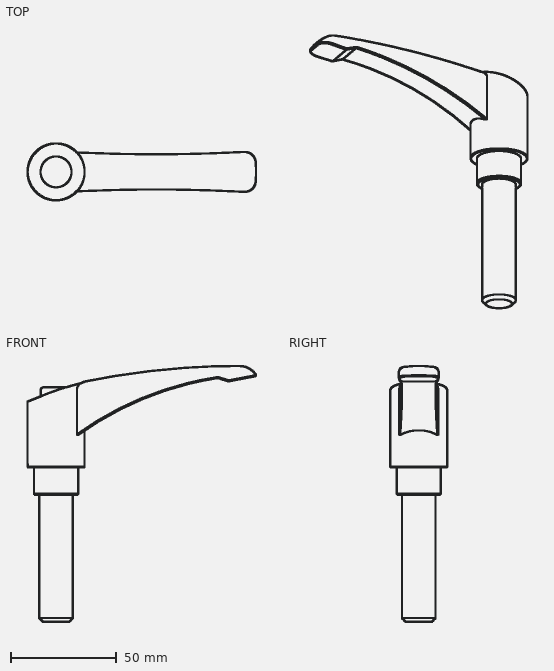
import cadquery as cq
import math


stud_diameter = 16
stud_length = 60
stud_chamfer_height = 1.8
stud_chamfer_width = 1.8
sleeve_diameter = 21
sleeve_height = 13
sleeve_edge_chamfer = 0.6
hub_diameter = 27
hub_radius = hub_diameter / 2
hub_edge_chamfer = 0.3

dish_floor_z = 43.7
dish_rim_z = 53.2
dish_length_radius = 32
dish_width_radius = 25

button_diameter = 14.6
button_top_z = 50.8
button_edge_radius = 1.5

lever_top_z = 60.93
lever_tip_x = 94.42
lever_crest_x = 86.6
lever_back_radius = 364
lever_crown_radius = 50
lever_nose_radius = 9.2
lever_root_half_width = 9.75
lever_waist_half_width = 8.35
lever_tip_half_width = 9.5
lever_waist_x = 48
lever_corner_radius = 5.5
lever_top_fillet = 2.5
lever_underside_chamfer = 0.5

underside_root = (9.2, 27.4)
underside_middle = (43.3, 46.2)
finger_notch = (76.4, 55.1)
finger_bump = (81.4, 53.5)
tip_lower_edge = (lever_tip_x, 56)

trim_margin = 1

flat_tolerance = 0.02


def cylinder(diameter, bottom_z, top_z):
    return cq.Workplane("XY").workplane(offset=bottom_z).circle(diameter / 2).extrude(top_z - bottom_z)


def make_stud():
    stud = cylinder(stud_diameter, -stud_length, 0)
    return stud.faces("<Z").chamfer(stud_chamfer_height, stud_chamfer_width)


def make_sleeve():
    return cylinder(sleeve_diameter, 0, sleeve_height).faces("<Z").chamfer(sleeve_edge_chamfer)


def make_hub_blank():
    blank = cylinder(hub_diameter, sleeve_height, dish_rim_z + trim_margin)
    return blank.faces("<Z").chamfer(hub_edge_chamfer)


def make_dish():
    """Barrel lying along Y that hollows out the hub top, kept inside the hub diameter."""
    axis_z = dish_floor_z + dish_length_radius
    edge_z = dish_floor_z + dish_width_radius - math.sqrt(dish_width_radius**2 - hub_radius**2)
    rim_drop = axis_z - dish_rim_z
    axis_x = hub_radius - math.sqrt(dish_length_radius**2 - rim_drop**2)
    barrel = (
        cq.Workplane("YZ", origin=(axis_x, 0, 0))
        .moveTo(-hub_radius, axis_z)
        .lineTo(-hub_radius, edge_z)
        .threePointArc((0, dish_floor_z), (hub_radius, edge_z))
        .lineTo(hub_radius, axis_z)
        .close()
        .revolve(360, (0, axis_z), (1, axis_z))
    )
    return barrel.intersect(cylinder(hub_diameter, 0, axis_z))


def make_button():
    button = cylinder(button_diameter, sleeve_height, button_top_z)
    return button.faces(">Z").edges().fillet(button_edge_radius)


def crowned_section(bottom_z):
    """Lever cross-section at the crest: straight sides and a slightly crowned top."""
    half = hub_radius
    shoulder_z = lever_top_z - lever_crown_radius + math.sqrt(lever_crown_radius**2 - half**2)
    return (
        cq.Workplane("YZ", origin=(lever_crest_x, 0, 0))
        .moveTo(-half, bottom_z)
        .lineTo(-half, shoulder_z)
        .threePointArc((0, lever_top_z), (half, shoulder_z))
        .lineTo(half, bottom_z)
        .close()
    )


def make_lever_back():
    """Crowned block curving down from the crest toward the hub and over the nose."""
    back_center_z = lever_top_z - lever_back_radius
    nose_center_z = lever_top_z - lever_nose_radius
    back_angle = math.degrees(math.asin(lever_crest_x / lever_back_radius))
    back = crowned_section(0).revolve(back_angle, (0, back_center_z), (-1, back_center_z))
    nose = crowned_section(nose_center_z).revolve(90, (0, nose_center_z), (1, nose_center_z))
    return back.union(nose)


def make_lever_outline():
    """Waisted plan outline of the lever with rounded tip corners."""
    corner_x = lever_tip_x - lever_corner_radius
    end_half = lever_tip_half_width - lever_corner_radius
    bend = lever_corner_radius * math.sqrt(0.5)
    corner_mid = (corner_x + bend, end_half + bend)
    return (
        cq.Workplane("XY")
        .moveTo(0, lever_root_half_width)
        .threePointArc((lever_waist_x, lever_waist_half_width), (corner_x, lever_tip_half_width))
        .threePointArc(corner_mid, (lever_tip_x, end_half))
        .lineTo(lever_tip_x, -end_half)
        .threePointArc((corner_mid[0], -corner_mid[1]), (corner_x, -lever_tip_half_width))
        .threePointArc((lever_waist_x, -lever_waist_half_width), (0, -lever_root_half_width))
        .close()
        .extrude(lever_top_z + trim_margin)
    )


def make_lever_side():
    """Side profile that shapes the underside: long arc, finger notch and bump."""
    return (
        cq.Workplane("XZ")
        .moveTo(0, underside_root[1])
        .lineTo(*underside_root)
        .threePointArc(underside_middle, finger_notch)
        .lineTo(*finger_bump)
        .lineTo(*tip_lower_edge)
        .lineTo(lever_tip_x, lever_top_z + trim_margin)
        .lineTo(0, lever_top_z + trim_margin)
        .close()
        .extrude(hub_radius, both=True)
    )


def make_lever_blank():
    """Lever blank with a flat top and its underside edges broken all round."""
    blank = make_lever_outline().intersect(make_lever_side())
    side_edges = [edge for edge in blank.edges().vals() if is_underside_edge(edge)]
    return blank.newObject(side_edges).chamfer(lever_underside_chamfer)


def is_underside_edge(edge):
    """True for the curved edges where the underside beyond its root meets the sides."""
    box = edge.BoundingBox()
    curved = edge.geomType() != "LINE"
    rising = box.zlen > flat_tolerance
    return curved and rising and box.zmax < tip_lower_edge[1] + flat_tolerance


def is_long_top_edge(edge):
    """True for the two edges along which the crowned back meets the sides."""
    box = edge.BoundingBox()
    return box.xlen > lever_crest_x / 2 and box.zmax > tip_lower_edge[1] + flat_tolerance


def make_lever():
    lever = make_lever_blank().intersect(make_lever_back())
    top_edges = [edge for edge in lever.edges().vals() if is_long_top_edge(edge)]
    return lever.newObject(top_edges).fillet(lever_top_fillet)


hub = make_sleeve().union(make_hub_blank()).union(make_lever()).cut(make_dish())
result = hub.union(make_stud()).union(make_button())